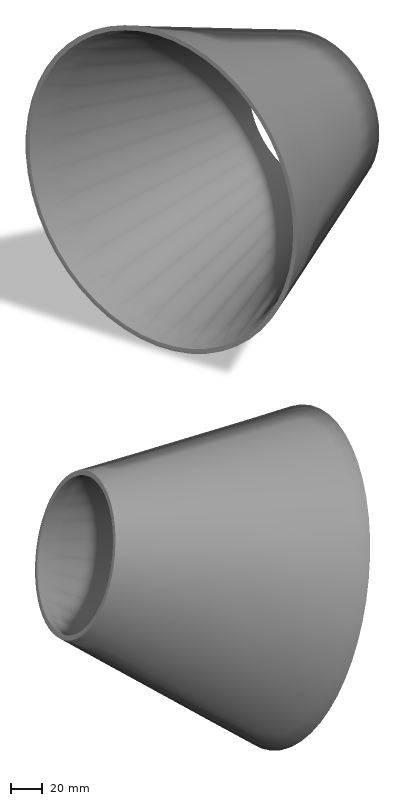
import cadquery as cq

large_diameter = 219.0
small_diameter = 108.0
length = 152.0
wall = 3.3

large_radius = large_diameter / 2
small_radius = small_diameter / 2
wide_end_y = 0.0
narrow_end_y = wide_end_y + length

wall_section = (
    cq.Workplane("XY")
    .moveTo(large_radius - wall, wide_end_y)
    .lineTo(large_radius, wide_end_y)
    .lineTo(small_radius, narrow_end_y)
    .lineTo(small_radius - wall, narrow_end_y)
    .close()
)

result = wall_section.revolve(360, (0, 0, 0), (0, 1, 0))